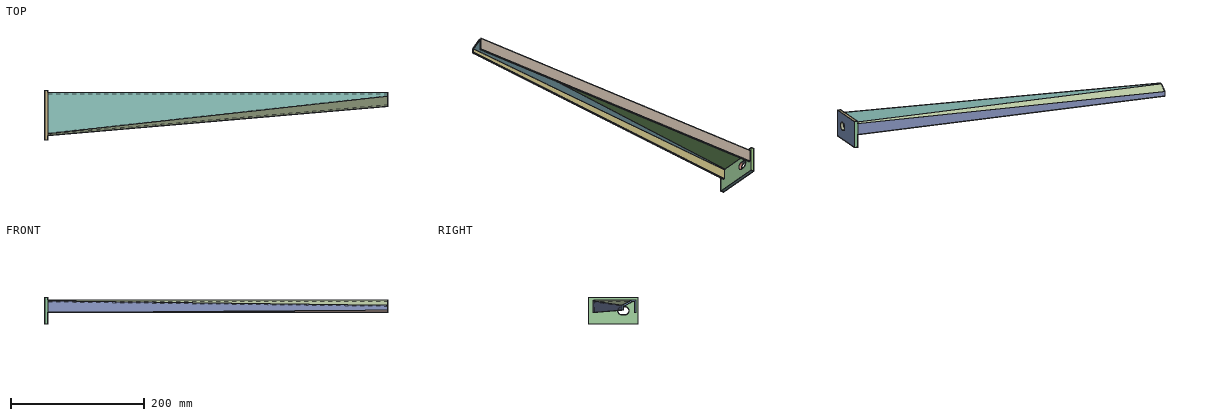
import cadquery as cq
import math

total_length = 516.0
plate_width = 75.0
plate_height = 40.0

plate_thickness = 5.0
slot_length = 16.5
slot_height = 12.0
slot_from_edge = 22.0

sheet = 2.5
arm_height = 19.0
arm_top = plate_height / 2 - 3.5
arm_back = plate_width / 2 - 3.0
slope_angle = math.radians(28)

root_flat_width = 62.0
root_full_width = 65.0
tip_flat_width = 5.5
tip_full_width = 21.0
tip_wall_rise = 3.5


def make_plate():
    """Rectangular mounting plate with a horizontal slot through it."""
    plate = cq.Workplane("XY").box(
        plate_thickness, plate_width, plate_height, centered=(False, True, True)
    )
    slot = (
        cq.Workplane("YZ")
        .center(plate_width / 2 - slot_from_edge, 0)
        .slot2D(slot_length, slot_height)
        .extrude(plate_thickness)
    )
    return plate.cut(slot)


def arm_section(x, flat_width, full_width, wall_rise):
    """Closed wire of the folded sheet's cross-section at the given X."""
    front = arm_back - full_width
    fold = arm_back - flat_width
    bottom = arm_top - arm_height
    slope = math.tan(slope_angle)
    slope_end = arm_top - (full_width - flat_width) * slope
    inner_fold = fold + sheet * math.tan(slope_angle / 2)
    inner_top = arm_top - sheet
    inner_front = front + sheet
    inner_slope_end = inner_top - (inner_fold - inner_front) * slope
    outline = [
        (arm_back, bottom),
        (arm_back, arm_top),
        (fold, arm_top),
        (front, slope_end),
        (front, bottom + wall_rise),
        (inner_front, bottom + wall_rise),
        (inner_front, inner_slope_end),
        (inner_fold, inner_top),
        (arm_back - sheet, inner_top),
        (arm_back - sheet, bottom),
    ]
    return cq.Wire.makePolygon([cq.Vector(x, y, z) for y, z in outline], close=True)


def make_arm():
    """Tapering arm running straight from the plate to the tip."""
    root = arm_section(plate_thickness, root_flat_width, root_full_width, 0)
    tip = arm_section(total_length, tip_flat_width, tip_full_width, tip_wall_rise)
    return cq.Workplane(cq.Solid.makeLoft([root, tip], True))


plate = make_plate()
arm = make_arm()

result = cq.Compound.makeCompound([plate.val(), arm.val()])